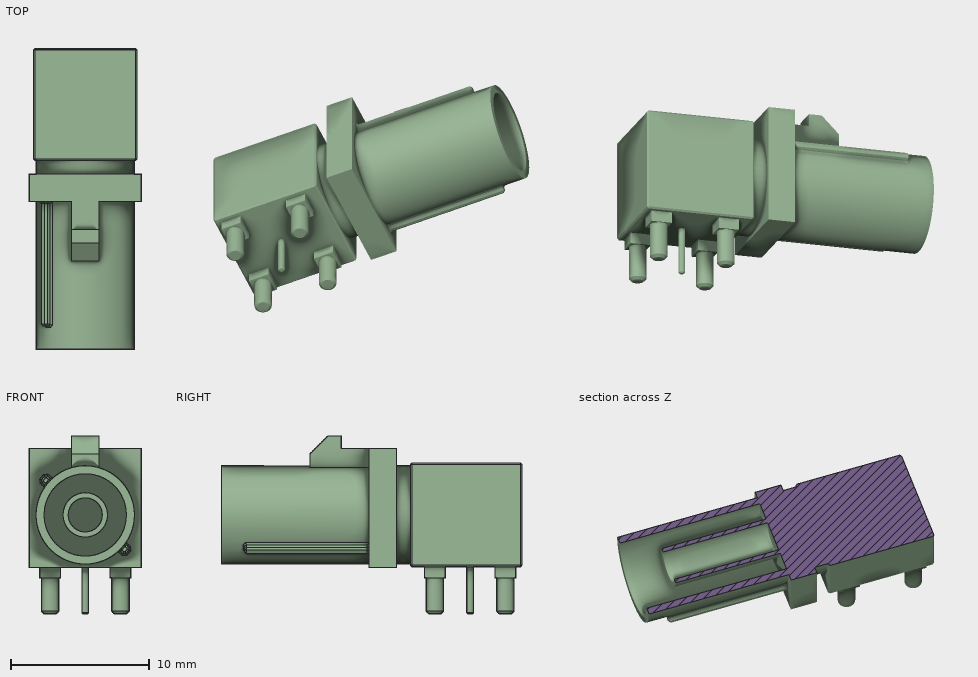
import cadquery as cq


housing_size = 7.5
housing_back_y = 3.75
housing_front_y = -4.32
housing_edge_chamfer = 0.12

barrel_diameter = 7.1
barrel_length = 13.63
barrel_front_y = housing_front_y - barrel_length
cavity_diameter = 5.94
post_diameter = 3.2
post_bore_diameter = 2.46
post_recess = 2.7

flange_width = 8.1
flange_top_z = 4.8
flange_bottom_z = -3.8
flange_back_y = -5.3
flange_thickness = 2.0
flange_front_y = flange_back_y - flange_thickness
cavity_depth = flange_front_y - barrel_front_y

latch_width = 2.0
latch_length = 4.27
latch_top_z = 5.7
latch_catch_offset = 2.0
latch_ramp = 1.3
latch_root_z = 3.2

rib_angle = 41.2
rib_half_width = 0.305
rib_root_radius = 3.3
rib_foot_radius = 3.52
rib_crest_radius = 4.05
rib_crest_chamfer = 0.14
rib_flare = 0.13
rib_foot_corner = 0.2
rib_length = 8.97
flare_angle = 45

pin_tip_z = -7.15
ground_pitch = 5.08
pad_size = 1.52
pad_height = 0.8
ground_diameter = 1.27
ground_tip_chamfer = 0.2
signal_diameter = 0.5
signal_tip_chamfer = 0.1


def cylinder_along_y(diameter, front_y, length):
    """Cylinder on the barrel axis, from front_y toward +Y."""
    plane = cq.Workplane("XZ", origin=(0, front_y, 0))
    return plane.circle(diameter / 2).extrude(-length)


def make_housing():
    length = housing_back_y - housing_front_y
    middle_y = (housing_back_y + housing_front_y) / 2
    block = cq.Workplane("XY").box(housing_size, length, housing_size)
    return block.edges().chamfer(housing_edge_chamfer).translate((0, middle_y, 0))


def make_flange():
    height = flange_top_z - flange_bottom_z
    plate = cq.Workplane("XY").box(flange_width, flange_thickness, height)
    middle_y = (flange_back_y + flange_front_y) / 2
    return plate.translate((0, middle_y, (flange_top_z + flange_bottom_z) / 2))


def make_latch():
    """Arm reaching forward from the flange, with a raised, ramped catch."""
    tip_y = flange_front_y - latch_length
    catch_y = flange_front_y - latch_catch_offset
    return (
        cq.Workplane("YZ")
        .moveTo(flange_front_y, latch_root_z)
        .lineTo(flange_front_y, flange_top_z)
        .lineTo(catch_y, flange_top_z)
        .lineTo(catch_y, latch_top_z)
        .lineTo(tip_y + latch_ramp, latch_top_z)
        .lineTo(tip_y, latch_top_z - latch_ramp)
        .lineTo(tip_y, latch_root_z)
        .close()
        .extrude(latch_width / 2, both=True)
    )


def rib_section(y):
    """Rib cross-section with its chamfered crest toward +Z, at the given y."""
    shoulder_radius = rib_crest_radius - rib_crest_chamfer
    crest_half_width = rib_half_width - rib_crest_chamfer
    return (
        cq.Workplane("XZ", origin=(0, y, 0))
        .moveTo(-rib_half_width, rib_root_radius)
        .lineTo(-rib_half_width, shoulder_radius)
        .lineTo(-crest_half_width, rib_crest_radius)
        .lineTo(crest_half_width, rib_crest_radius)
        .lineTo(rib_half_width, shoulder_radius)
        .lineTo(rib_half_width, rib_root_radius)
        .close()
    )


def make_rib_foot():
    """Flare that widens the rib along the barrel, with its two front corners cut off."""
    half_width = rib_half_width + rib_flare
    front_y = flange_front_y - rib_length - rib_flare
    back_y = flange_front_y + rib_flare
    return (
        cq.Workplane("XY", origin=(0, 0, rib_foot_radius))
        .moveTo(-half_width, back_y)
        .lineTo(-half_width, front_y + rib_foot_corner)
        .lineTo(-half_width + rib_foot_corner, front_y)
        .lineTo(half_width - rib_foot_corner, front_y)
        .lineTo(half_width, front_y + rib_foot_corner)
        .lineTo(half_width, back_y)
        .close()
        .extrude(rib_flare, taper=flare_angle)
    )


def make_rib(angle_from_top):
    """Rib with a chamfered front end, flared out against the barrel and the flange."""
    body_length = rib_length - rib_crest_chamfer
    rib = rib_section(flange_front_y).extrude(body_length)
    chamfered_end = rib_section(flange_front_y - body_length).extrude(rib_crest_chamfer, taper=flare_angle)
    flange_flare = rib_section(flange_front_y - rib_flare).extrude(-rib_flare, taper=-flare_angle)
    rib = rib.union(chamfered_end).union(flange_flare).union(make_rib_foot())
    return rib.rotate((0, 0, 0), (0, 1, 0), angle_from_top)


def make_pin(diameter, tip_chamfer):
    """Round pin on the Z axis, from inside the housing down to its chamfered tip."""
    plane = cq.Workplane("XY", origin=(0, 0, pin_tip_z))
    pin = plane.circle(diameter / 2).extrude(-housing_size / 2 - pin_tip_z)
    return pin.faces("<Z").chamfer(tip_chamfer)


def make_ground_post():
    """Round post below a square standoff pad."""
    plane = cq.Workplane("XY", origin=(0, 0, -housing_size / 2))
    pad = plane.rect(pad_size, pad_size).extrude(-pad_height)
    return make_pin(ground_diameter, ground_tip_chamfer).union(pad)


result = make_housing().union(cylinder_along_y(barrel_diameter, barrel_front_y, barrel_length))
result = result.union(make_flange()).union(make_latch())
for angle in (rib_angle - 90, rib_angle + 90):
    result = result.union(make_rib(angle))

result = result.cut(cylinder_along_y(cavity_diameter, barrel_front_y, cavity_depth))
post_front_y = barrel_front_y + post_recess
post_length = cavity_depth - post_recess
result = result.union(cylinder_along_y(post_diameter, post_front_y, post_length))
result = result.cut(cylinder_along_y(post_bore_diameter, post_front_y, post_length))

result = result.union(make_pin(signal_diameter, signal_tip_chamfer))
for x in (-ground_pitch / 2, ground_pitch / 2):
    for y in (-ground_pitch / 2, ground_pitch / 2):
        result = result.union(make_ground_post().translate((x, y, 0)))